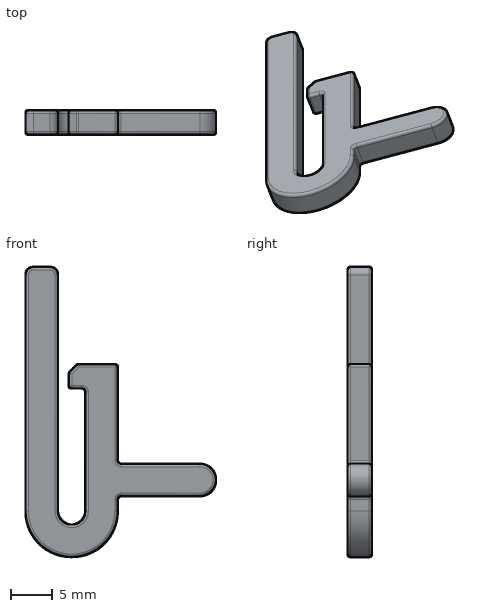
import cadquery as cq

total_length = 23.27
total_height = 35.42
thickness = 3.0
bar_width = 4.0
slot_width = 3.3
stem_height = 23.55
hook_reach = 2.02
hook_height = 3.0
hook_chamfer = 1.05
tab_center_z = 9.42
arm_tip_radius = 1.0
rounding_radius = 0.4

slot_left = bar_width
slot_right = slot_left + slot_width
stem_right = slot_right + bar_width
bend_radius = stem_right / 2
slot_radius = slot_width / 2
bend_center_z = bend_radius
hook_left = slot_right - hook_reach
hook_bottom = stem_height - hook_height
tab_radius = bar_width / 2
tab_bottom = tab_center_z - tab_radius
tab_top = tab_center_z + tab_radius
tab_end_center_x = total_length - tab_radius


def build_blank():
    """J-shaped clip with a hooked stem and a round-ended side tab, all corners sharp."""
    outline = (
        cq.Workplane("XZ", origin=(0, thickness / 2, 0))
        .moveTo(0, bend_center_z)
        .lineTo(0, total_height)
        .lineTo(slot_left, total_height)
        .lineTo(slot_left, bend_center_z)
        .threePointArc((bend_radius, bend_center_z - slot_radius), (slot_right, bend_center_z))
        .lineTo(slot_right, hook_bottom)
        .lineTo(hook_left, hook_bottom)
        .lineTo(hook_left, stem_height - hook_chamfer)
        .lineTo(hook_left + hook_chamfer, stem_height)
        .lineTo(stem_right, stem_height)
        .lineTo(stem_right, tab_top)
        .lineTo(tab_end_center_x, tab_top)
        .threePointArc((total_length, tab_center_z), (tab_end_center_x, tab_bottom))
        .lineTo(stem_right, tab_bottom)
        .lineTo(stem_right, bend_center_z)
        .threePointArc((bend_radius, 0), (0, bend_center_z))
        .close()
    )
    return outline.extrude(thickness)


def corner_edges(body, corners):
    """Select the edges running along Y at the given (x, z) corners."""
    selectors = [cq.selectors.NearestToPointSelector((x, 0, z)) for x, z in corners]
    return [body.edges(selector).val() for selector in selectors]


def round_edges(body, edges, radius):
    """Round the given edges of the body together, so that they blend where they meet."""
    return body.newObject(edges).fillet(radius)


arm_tip_corners = [(0, total_height), (slot_left, total_height)]
inner_corners = [
    (slot_right, hook_bottom),
    (stem_right, tab_top),
    (stem_right, tab_bottom),
]
outer_corners = [
    (hook_left, hook_bottom),
    (hook_left, stem_height - hook_chamfer),
    (hook_left + hook_chamfer, stem_height),
    (stem_right, stem_height),
]

result = build_blank()
result = round_edges(result, corner_edges(result, arm_tip_corners), arm_tip_radius)
result = round_edges(result, corner_edges(result, inner_corners), rounding_radius)

rim_edges = result.faces("<Y or >Y").edges().vals()
result = round_edges(result, rim_edges + corner_edges(result, outer_corners), rounding_radius)